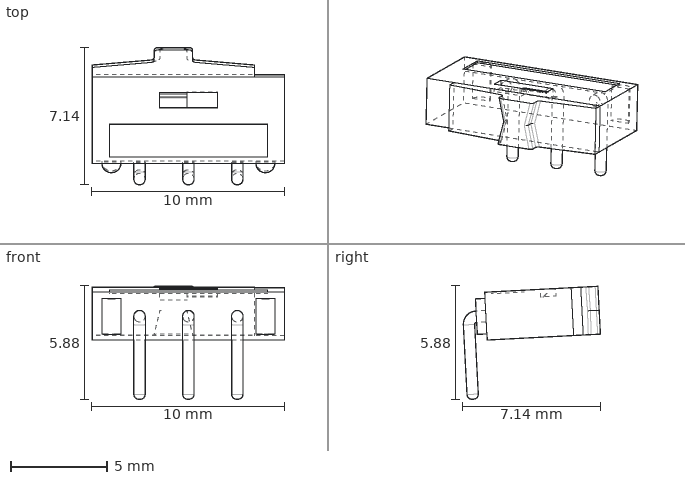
import cadquery as cq

LEAN_ANGLE = 3.0

HOUSING_LENGTH = 10.0
HOUSING_DEPTH = 4.5
HOUSING_HEIGHT = 2.5

PEG_SPACING = 8.0
PEG_RADIUS = 0.5
PEG_LENGTH = 1.86

PIN_COUNT = 3
PIN_PITCH = 2.54
PIN_DIAMETER = 0.6
PIN_AXIS_Z = -HOUSING_HEIGHT / 2
PIN_STUB = 0.5
PIN_BEND_RADIUS = 0.4
PIN_LEG = 3.88
PIN_TIP_FILLET = 0.26

LABEL_LENGTH = 8.2
LABEL_WIDTH = 1.7
LABEL_DEPTH = 0.1
LABEL_FRONT_Y = 0.34

WINDOW_LENGTH = 3.0
WINDOW_WIDTH = 0.8
WINDOW_DEPTH = 0.4
WINDOW_FRONT_Y = 2.89
WINDOW_BACK_Y = WINDOW_FRONT_Y + WINDOW_WIDTH
LEDGE_LENGTH = 1.42
LEDGE_BACK_DROP = 0.05
CREST_START_RUN = 0.08
CREST_END_RUN = 0.22
CREST_DROP = 0.02
RAMP_START_RUN = 0.28
RAMP_START_DROP = 0.05
RAMP_END_DROP = 0.55

SLIDER_LENGTH = 8.44
SLIDER_LEFT_X = -HOUSING_LENGTH / 2
SLIDER_MIDDLE_X = SLIDER_LEFT_X + SLIDER_LENGTH / 2
WING_END_DEPTH = 0.5
WING_ROOT_DEPTH = 0.8
KNOB_LENGTH = 2.0
KNOB_DEPTH = 1.4
KNOB_WAIST_INSET = 0.3
KNOB_FILLET = 0.15


def make_block():
    """Plain housing block."""
    return cq.Workplane("XY").box(
        HOUSING_LENGTH, HOUSING_DEPTH, HOUSING_HEIGHT, centered=(True, False, False)
    ).translate((0, 0, -HOUSING_HEIGHT))


def make_peg(x):
    """Half-round peg, centred in height, bulging out of the front face."""
    bottom_z = -(HOUSING_HEIGHT + PEG_LENGTH) / 2
    return (
        cq.Workplane("XY", origin=(x, 0, bottom_z))
        .moveTo(-PEG_RADIUS, 0)
        .threePointArc((0, -PEG_RADIUS), (PEG_RADIUS, 0))
        .close()
        .extrude(PEG_LENGTH)
    )


def make_pin(x):
    """Round pin that leaves the front face, bends down and ends in a rounded tip."""
    leg_y = -PIN_STUB - PIN_BEND_RADIUS
    leg_top_z = PIN_AXIS_Z - PIN_BEND_RADIUS
    stub = cq.Workplane("XZ", origin=(x, 0, PIN_AXIS_Z)).circle(PIN_DIAMETER / 2).extrude(PIN_STUB)
    bend = (
        cq.Workplane("XZ", origin=(x, -PIN_STUB, PIN_AXIS_Z))
        .circle(PIN_DIAMETER / 2)
        .revolve(90, (-0.1, -PIN_BEND_RADIUS), (0.1, -PIN_BEND_RADIUS))
    )
    leg = (
        cq.Workplane("XY", origin=(x, leg_y, leg_top_z))
        .circle(PIN_DIAMETER / 2)
        .extrude(-PIN_LEG)
        .faces("<Z")
        .edges()
        .fillet(PIN_TIP_FILLET)
    )
    return stub.union(bend).union(leg)


def make_label_recess():
    """Cutter for the label recess."""
    return cq.Workplane("XY").box(
        LABEL_LENGTH, LABEL_WIDTH, LABEL_DEPTH, centered=(True, False, False)
    ).translate((0, LABEL_FRONT_Y, -LABEL_DEPTH))


def make_window():
    """Cutter for the window: flat floor on the right, crest and ramp on the left."""
    left_x = -WINDOW_LENGTH / 2
    floor_length = WINDOW_LENGTH - LEDGE_LENGTH
    flat_part = cq.Workplane("XY").box(
        floor_length, WINDOW_WIDTH, WINDOW_DEPTH, centered=False
    ).translate((left_x + LEDGE_LENGTH, WINDOW_FRONT_Y, -WINDOW_DEPTH))
    ramp_part = (
        cq.Workplane("YZ", origin=(left_x, 0, 0))
        .polyline([
            (WINDOW_BACK_Y, 0),
            (WINDOW_BACK_Y, -LEDGE_BACK_DROP),
            (WINDOW_BACK_Y - CREST_START_RUN, -CREST_DROP),
            (WINDOW_BACK_Y - CREST_END_RUN, -CREST_DROP),
            (WINDOW_BACK_Y - RAMP_START_RUN, -RAMP_START_DROP),
            (WINDOW_FRONT_Y, -RAMP_END_DROP),
            (WINDOW_FRONT_Y, 0),
        ])
        .close()
        .extrude(LEDGE_LENGTH)
    )
    return flat_part.union(ramp_part)


def make_housing():
    """Housing with its standoff pegs and terminal pins."""
    housing = make_block()
    for side in (-1, 1):
        housing = housing.union(make_peg(side * PEG_SPACING / 2))
    for index in range(PIN_COUNT):
        housing = housing.union(make_pin((index - (PIN_COUNT - 1) / 2) * PIN_PITCH))
    return housing.cut(make_label_recess()).cut(make_window())


def make_wings():
    """Slider plate against the back of the housing, deepest beside the knob."""
    half_length = SLIDER_LENGTH / 2
    half_waist = KNOB_LENGTH / 2 - KNOB_WAIST_INSET
    return (
        cq.Workplane("XY", origin=(SLIDER_MIDDLE_X, HOUSING_DEPTH, -HOUSING_HEIGHT))
        .polyline([
            (-half_length, 0),
            (half_length, 0),
            (half_length, WING_END_DEPTH),
            (half_waist, WING_ROOT_DEPTH),
            (-half_waist, WING_ROOT_DEPTH),
            (-half_length, WING_END_DEPTH),
        ])
        .close()
        .extrude(HOUSING_HEIGHT)
    )


def make_knob():
    """Knob whose sides slope in to a waist at half height, with rounded back corners."""
    half_length = KNOB_LENGTH / 2
    half_waist = half_length - KNOB_WAIST_INSET
    half_height = HOUSING_HEIGHT / 2
    return (
        cq.Workplane("XZ", origin=(SLIDER_MIDDLE_X, HOUSING_DEPTH, -half_height))
        .polyline([
            (-half_length, -half_height),
            (half_length, -half_height),
            (half_waist, 0),
            (half_length, half_height),
            (-half_length, half_height),
            (-half_waist, 0),
        ])
        .close()
        .extrude(-KNOB_DEPTH)
        .faces(">Y")
        .edges("not #Z")
        .fillet(KNOB_FILLET)
    )


def make_slider():
    """Wings and knob as one piece, with rounded corners where the knob rises from the wings."""
    corner_zone = cq.selectors.BoxSelector(
        (SLIDER_MIDDLE_X - KNOB_LENGTH, HOUSING_DEPTH + WING_END_DEPTH, -HOUSING_HEIGHT),
        (SLIDER_MIDDLE_X + KNOB_LENGTH, HOUSING_DEPTH + WING_ROOT_DEPTH, 0),
    )
    return make_wings().union(make_knob()).edges(corner_zone).edges("not #Z").fillet(KNOB_FILLET)


def lean(body):
    """Lean a finished body about the X axis."""
    return body.rotate((0, 0, 0), (1, 0, 0), LEAN_ANGLE)


housing = lean(make_housing())
slider = lean(make_slider())
result = cq.Compound.makeCompound([housing.val(), slider.val()])